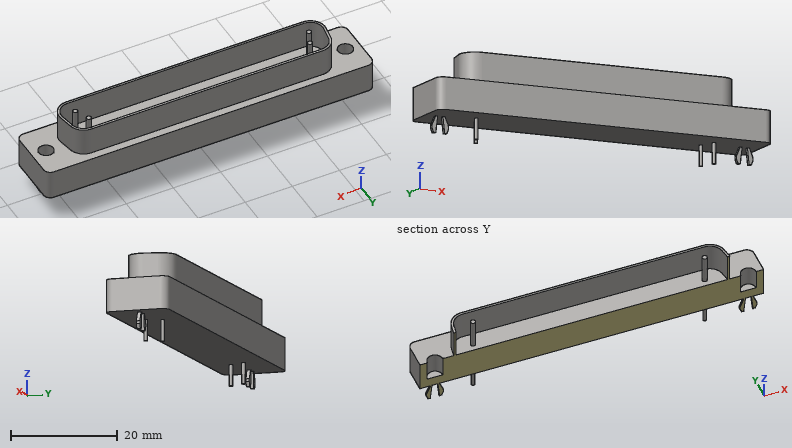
import cadquery as cq
import math

body_length = 69.7
body_width = 12.5
body_height = 6.3
body_corner_radius = 1.45

mount_x = 31.8
mount_hole_diameter = 3.1
mount_hole_depth = 4.2

shell_height = 5.85
shell_width = 9.2
shell_corner_radius = 3.15
shell_wall = 0.5
shell_wide_center_x = 25.1
shell_side_angle = math.radians(10)

contact_diameter = 1.0
contact_height = shell_height
tail_diameter = 0.7
tail_length = 4.05
contact_row_y = 1.45
contact_wide_x = 24.8
contact_narrow_x = 23.5

clip_thickness = 0.7
clip_length = 3.2
clip_root_inner = 0.55
clip_root_outer = 1.0
clip_barb_x = 1.75
clip_barb_top = 1.8
clip_barb_bottom = 2.4
clip_tip_inner = 0.9
clip_tip_outer = 1.4


def d_prism(inset, height):
    """D-shaped prism standing on the body, inset from the outside of the shell."""
    radius = shell_corner_radius - inset
    center_y = shell_width / 2 - shell_corner_radius
    half_width = center_y + radius
    wide_x = shell_wide_center_x + (
        radius / math.cos(shell_side_angle) + radius * math.tan(shell_side_angle)
    )
    narrow_x = wide_x - 2 * half_width * math.tan(shell_side_angle)
    outline = [
        (-wide_x, -half_width),
        (wide_x, -half_width),
        (narrow_x, half_width),
        (-narrow_x, half_width),
    ]
    prism = cq.Workplane("XY").polyline(outline).close().extrude(height)
    return prism.edges("|Z").fillet(radius)


def make_body():
    body = cq.Workplane("XY").box(body_length, body_width, body_height, centered=(True, True, False))
    body = body.translate((0, 0, -body_height)).edges("|Z").fillet(body_corner_radius)
    holes = (
        cq.Workplane("XY")
        .pushPoints([(-mount_x, 0), (mount_x, 0)])
        .circle(mount_hole_diameter / 2)
        .extrude(-mount_hole_depth)
    )
    return body.cut(holes)


def make_shell():
    return d_prism(0, shell_height).cut(d_prism(shell_wall, shell_height))


def make_contacts():
    places = []
    for side in (-1, 1):
        places.append((side * contact_wide_x, -contact_row_y))
        places.append((side * contact_narrow_x, contact_row_y))
    contacts = cq.Workplane("XY").pushPoints(places).circle(contact_diameter / 2).extrude(contact_height)
    tails = (
        cq.Workplane("XY", origin=(0, 0, -body_height))
        .pushPoints(places)
        .circle(tail_diameter / 2)
        .extrude(-tail_length)
    )
    return contacts, tails


def make_clip_prong(center_x, side):
    """Barbed prong below the body, leaning outward towards the given side."""
    profile = [
        (clip_root_inner, 0),
        (clip_root_outer, 0),
        (clip_barb_x, -clip_barb_top),
        (clip_barb_x, -clip_barb_bottom),
        (clip_tip_outer, -clip_length),
        (clip_tip_inner, -clip_length),
    ]
    return (
        cq.Workplane("XZ", origin=(center_x, 0, -body_height))
        .polyline([(side * x, z) for x, z in profile])
        .close()
        .extrude(clip_thickness / 2, both=True)
    )


contacts, tails = make_contacts()
result = make_body().union(make_shell()).union(contacts).union(tails)
for center_x in (-mount_x, mount_x):
    for side in (-1, 1):
        result = result.union(make_clip_prong(center_x, side))